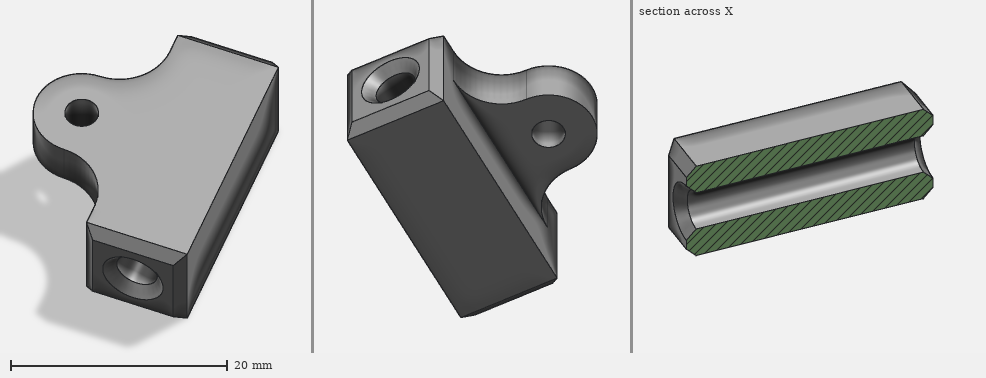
import cadquery as cq

bar_length = 25.0
bar_side = 10.0
end_chamfer = 1.0

bore_diameter = 4.0
countersink_diameter = 6.0
countersink_depth = (countersink_diameter - bore_diameter) / 2

lug_radius = 4.5
lug_thickness = 4.5
lug_hole_diameter = 3.1
blend_radius = 5.0

bar_face_x = -bar_side / 2
bar_top_z = bar_side / 2
lug_center_x = bar_face_x - blend_radius
blend_end_y = lug_radius + blend_radius
diagonal = 0.5 ** 0.5


def make_bar():
    bar = cq.Workplane("XY").box(bar_side, bar_length, bar_side)
    return bar.faces("<Y or >Y").chamfer(end_chamfer)


def make_lug():
    blend_mid_x = lug_center_x + blend_radius * diagonal
    blend_mid_y = blend_end_y - blend_radius * diagonal
    return (
        cq.Workplane("XY", origin=(0, 0, bar_top_z - lug_thickness))
        .moveTo(0, -blend_end_y)
        .lineTo(bar_face_x, -blend_end_y)
        .threePointArc((blend_mid_x, -blend_mid_y), (lug_center_x, -lug_radius))
        .threePointArc((lug_center_x - lug_radius, 0), (lug_center_x, lug_radius))
        .threePointArc((blend_mid_x, blend_mid_y), (bar_face_x, blend_end_y))
        .lineTo(0, blend_end_y)
        .close()
        .extrude(lug_thickness)
    )


def make_bore():
    """Half profile of the bore, revolved about the Y axis."""
    bore_radius = bore_diameter / 2
    countersink_radius = countersink_diameter / 2
    end_y = bar_length / 2
    cone_y = end_y - countersink_depth
    profile = [
        (0, -end_y),
        (countersink_radius, -end_y),
        (bore_radius, -cone_y),
        (bore_radius, cone_y),
        (countersink_radius, end_y),
        (0, end_y),
    ]
    return cq.Workplane("XY").polyline(profile).close().revolve(360, (0, 0, 0), (0, 1, 0))


def make_lug_hole():
    return (
        cq.Workplane("XY", origin=(lug_center_x, 0, bar_top_z - lug_thickness))
        .circle(lug_hole_diameter / 2)
        .extrude(lug_thickness)
    )


result = make_bar().union(make_lug()).cut(make_bore()).cut(make_lug_hole())